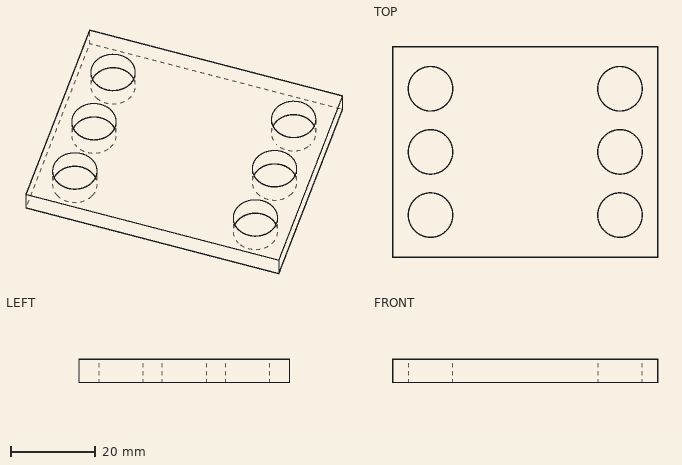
import cadquery as cq

length = 63.0
width = 50.0
thickness = 5.6

hole_diameter = 10.5
column_spacing = 45.0
row_spacing = 15.0
column_count = 2
row_count = 3

plate = cq.Workplane("XY").box(length, width, thickness)

result = (
    plate.faces(">Z")
    .workplane()
    .rarray(column_spacing, row_spacing, column_count, row_count)
    .hole(hole_diameter)
)